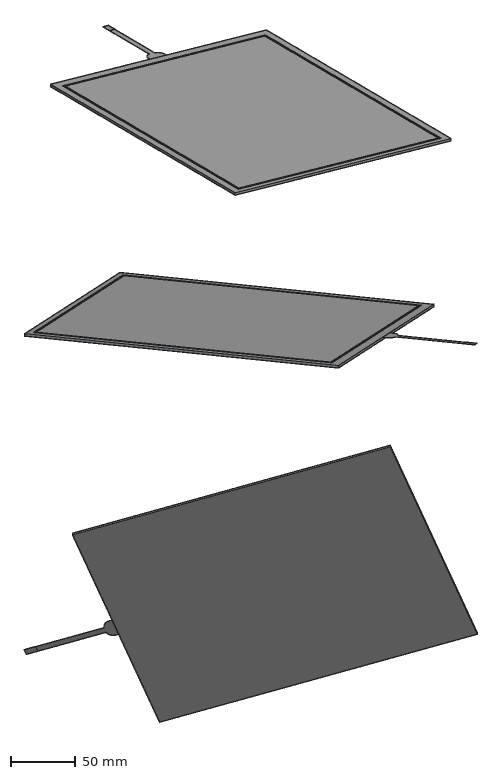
import cadquery as cq
import math

overall_length = 338.0
overall_height = 2.2

panel_length = 263.0
panel_width = 201.0
panel_thickness = 2.1

left_border = 8.0
right_border = 5.0
side_border = 6.25
groove_width = 1.5
groove_depth = 0.2

tail_length = overall_length - panel_length
tail_width = 5.1
tail_thickness = 0.1
film_thickness = 0.1
tail_top = panel_thickness - film_thickness
root_width = 15.3
root_straight_length = 3.0
root_corner_radius = 6.0
stiffener_length = 9.5

tail_bottom = tail_top - tail_thickness
stiffener_height = overall_height - tail_bottom


def centred_plate(x_start, x_end, width, z_start, height):
    """Rectangular plate that is symmetric about the XZ plane."""
    plate = cq.Workplane("XY").box(x_end - x_start, width, height, centered=(False, True, False))
    return plate.translate((x_start, 0, z_start))


def active_area(inset):
    """Cutting plate over the active area, shrunk by the inset on all four sides."""
    return centred_plate(
        left_border + inset,
        panel_length - right_border - inset,
        panel_width - 2 * (side_border + inset),
        panel_thickness - groove_depth,
        groove_depth,
    )


def make_panel():
    panel = centred_plate(0, panel_length, panel_width, 0, panel_thickness)
    groove = active_area(0).cut(active_area(groove_width))
    return panel.cut(groove)


def make_tail():
    strip_half = tail_width / 2
    root_half = root_width / 2

    corner_x = -root_straight_length
    corner_y = root_half - root_corner_radius
    neck_x = corner_x - math.sqrt(root_corner_radius**2 - (strip_half - corner_y) ** 2)

    half_tail = (
        cq.Workplane("XY", origin=(0, 0, tail_bottom))
        .lineTo(0, root_half)
        .lineTo(corner_x, root_half)
        .tangentArcPoint((neck_x, strip_half), relative=False)
        .lineTo(-tail_length, strip_half)
        .lineTo(-tail_length, 0)
        .close()
        .extrude(tail_thickness)
    )
    return half_tail.union(half_tail.mirror("XZ"))


def make_stiffener():
    stiffener_end = -tail_length + stiffener_length
    return centred_plate(-tail_length, stiffener_end, tail_width, tail_bottom, stiffener_height)


result = make_panel().union(make_tail()).union(make_stiffener())